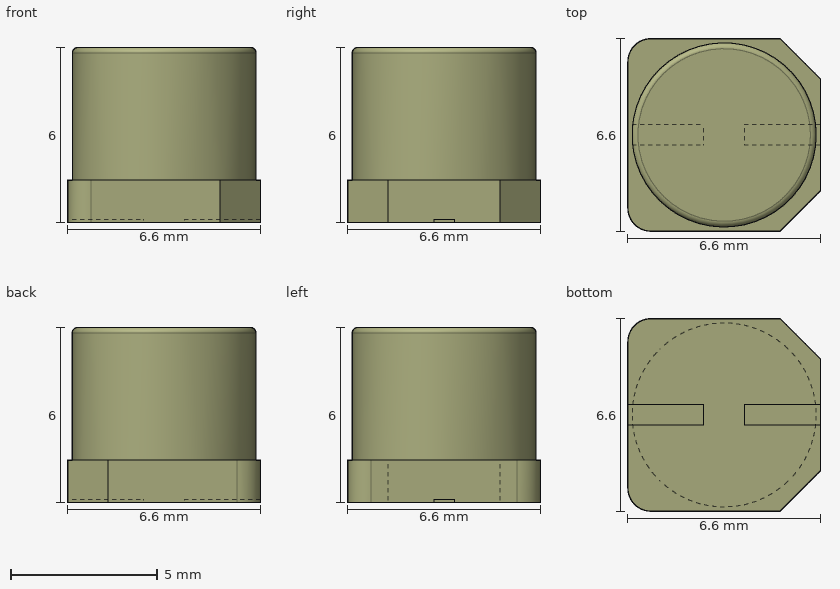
import cadquery as cq

BASE_SIDE = 6.6
BASE_HEIGHT = 1.45
ROUND_RADIUS = 0.8
CHAMFER = 1.385

TOTAL_HEIGHT = 6.0
CAN_DIAMETER = 6.3
CAN_EDGE_RADIUS = 0.2

TERMINAL_WIDTH = 0.7
TERMINAL_THICKNESS = 0.1
TERMINAL_LENGTH = 2.6


def make_terminal(side):
    """Flat strip running inward from the base edge; side is -1 for -X, +1 for +X."""
    center_x = side * (BASE_SIDE - TERMINAL_LENGTH) / 2
    return (
        cq.Workplane("XY")
        .center(center_x, 0)
        .rect(TERMINAL_LENGTH, TERMINAL_WIDTH)
        .extrude(TERMINAL_THICKNESS)
    )


def make_base(terminals):
    """Square plate with two rounded and two chamfered corners, recessed for the terminals."""
    base = (
        cq.Workplane("XY")
        .rect(BASE_SIDE, BASE_SIDE)
        .extrude(BASE_HEIGHT)
        .edges("|Z and <X")
        .fillet(ROUND_RADIUS)
        .edges("|Z and >X")
        .chamfer(CHAMFER)
    )
    for terminal in terminals:
        base = base.cut(terminal)
    return base


def make_can():
    """Cylinder standing on the base, with a rounded top edge."""
    return (
        cq.Workplane("XY")
        .workplane(offset=BASE_HEIGHT)
        .circle(CAN_DIAMETER / 2)
        .extrude(TOTAL_HEIGHT - BASE_HEIGHT)
        .faces(">Z")
        .edges()
        .fillet(CAN_EDGE_RADIUS)
    )


terminals = [make_terminal(side) for side in (-1, 1)]
base = make_base(terminals)
can = make_can()

result = cq.Compound.makeCompound(
    [base.val(), can.val(), *[terminal.val() for terminal in terminals]]
)